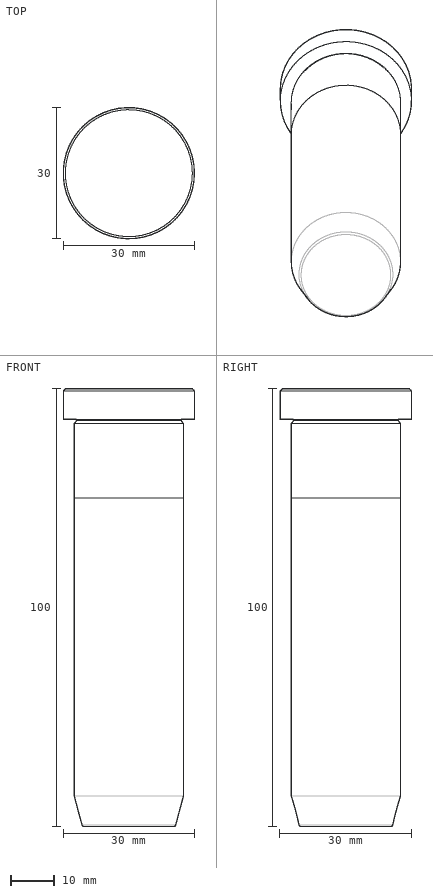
import cadquery as cq
import math

TOTAL_LENGTH = 100.0
SHAFT_RADIUS = 12.5

HEAD_RADIUS = 15.0
HEAD_HEIGHT = 7.0
HEAD_CHAMFER = 0.5

GROOVE_DEPTH = 0.5
GROOVE_WIDTH = 1.0
GROOVE_RAMP = 0.7

JOINT_Z = 75.0

NOSE_LENGTH = 7.0
NOSE_ANGLE = 15.0
TIP_FILLET = 0.5

head_bottom_z = TOTAL_LENGTH - HEAD_HEIGHT
groove_radius = SHAFT_RADIUS - GROOVE_DEPTH
tip_radius = SHAFT_RADIUS - NOSE_LENGTH * math.tan(math.radians(NOSE_ANGLE))
groove_bottom_z = head_bottom_z - GROOVE_WIDTH


def make_headed_shank():
    """Plain shank with a relief groove below a chamfered round head."""
    profile = (
        cq.Workplane("XZ")
        .moveTo(0, JOINT_Z)
        .lineTo(SHAFT_RADIUS, JOINT_Z)
        .lineTo(SHAFT_RADIUS, groove_bottom_z)
        .lineTo(groove_radius, groove_bottom_z + GROOVE_RAMP)
        .lineTo(groove_radius, head_bottom_z)
        .lineTo(HEAD_RADIUS, head_bottom_z)
        .lineTo(HEAD_RADIUS, TOTAL_LENGTH - HEAD_CHAMFER)
        .lineTo(HEAD_RADIUS - HEAD_CHAMFER, TOTAL_LENGTH)
        .lineTo(0, TOTAL_LENGTH)
        .close()
    )
    return profile.revolve(360, (0, 0), (0, 1))


def make_guide_shaft():
    """Straight shaft ending in a conical nose with a rounded tip edge."""
    profile = (
        cq.Workplane("XZ")
        .lineTo(tip_radius, 0)
        .lineTo(SHAFT_RADIUS, NOSE_LENGTH)
        .lineTo(SHAFT_RADIUS, JOINT_Z)
        .lineTo(0, JOINT_Z)
        .close()
    )
    shaft = profile.revolve(360, (0, 0), (0, 1))
    return shaft.faces("<Z").edges().fillet(TIP_FILLET)


headed_shank = make_headed_shank()
guide_shaft = make_guide_shaft()

result = cq.Compound.makeCompound([headed_shank.val(), guide_shaft.val()])